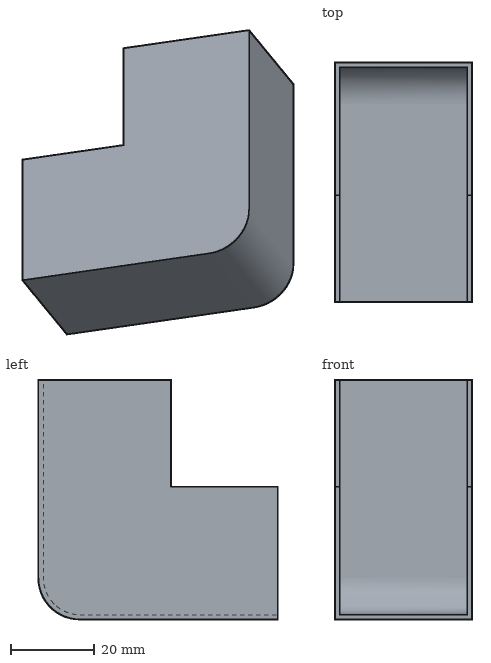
import cadquery as cq

width = 32.9
leg_length = 57.5
leg_depth = 31.9
wall = 1.2
outer_radius = 10.0

inner_radius = outer_radius - wall
half_leg = leg_length / 2


def elbow_profile():
    """Outer L-shaped side outline in the YZ plane, with its heel at +Y, -Z."""
    heel_y = half_leg
    heel_z = -half_leg
    return (
        cq.Workplane("YZ")
        .moveTo(-half_leg, heel_z)
        .lineTo(heel_y - outer_radius, heel_z)
        .radiusArc((heel_y, heel_z + outer_radius), -outer_radius)
        .lineTo(heel_y, half_leg)
        .lineTo(heel_y - leg_depth, half_leg)
        .lineTo(heel_y - leg_depth, heel_z + leg_depth)
        .lineTo(-half_leg, heel_z + leg_depth)
        .close()
    )


def channel_cavity():
    """Space between the side walls, open on every side except the back and the floor."""
    return (
        cq.Workplane("XY")
        .box(width - 2 * wall, leg_length, leg_length)
        .edges(">Y and <Z")
        .fillet(inner_radius)
        .translate((0, -wall, wall))
    )


body = elbow_profile().extrude(width / 2, both=True)
result = body.cut(channel_cavity())